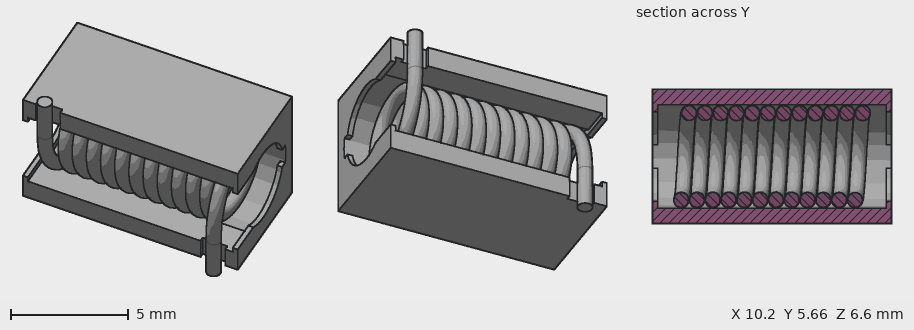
import cadquery as cq
import math


wire_diameter = 0.65
wire_radius = wire_diameter / 2
coil_inner_radius = 1.52
coil_radius = coil_inner_radius + wire_radius
coil_full_turns = 11
coil_end_angle = 60.0
lead_x = 3.99
lead_y = -2.56
lead_tip_z = 3.3
lead_bend_z = 1.4
bend_x_shift = 0.08

coil_length = 2 * (lead_x - bend_x_shift)
coil_turns = coil_full_turns + 1 - 2 * coil_end_angle / 360
coil_pitch = coil_length / coil_turns

housing_length = 10.16
housing_height = 5.71
housing_depth = 5.22
front_y = -2.45
back_y = front_y + housing_depth

bore_radius = 2.18
chamber_mouth_height = 3.78
lip_thickness = 0.23
chamber_length = housing_length - 2 * lip_thickness

lip_hole_radius = 1.9
lip_mouth_height = 3.29
notch_height = 1.02

groove_x = 3.9
groove_width = 1.16
groove_floor_y = lead_y + wire_radius


def open_bore(radius, mouth_height, length):
    """A cylinder along X joined to a flat-sided channel that leaves through the front."""
    bore = cq.Workplane("YZ").circle(radius).extrude(length / 2, both=True)
    channel = cq.Workplane("XY").box(length, -front_y, mouth_height).translate((0, front_y / 2, 0))
    return bore.union(channel)


def back_notch():
    """A notch through both lips, reaching back to the wall of the bore."""
    bore = cq.Workplane("YZ").circle(bore_radius).extrude(housing_length / 2, both=True)
    bar = cq.Workplane("XY").box(housing_length, bore_radius, notch_height)
    return bore.intersect(bar.translate((0, bore_radius / 2, 0)))


def lead_groove(side):
    """A groove above the left lead (side = -1) or below the right lead (side = 1)."""
    depth = groove_floor_y - front_y
    height = housing_height / 2
    groove = cq.Workplane("XY").box(groove_width, depth, height)
    return groove.translate((side * groove_x, front_y + depth / 2, -side * height / 2))


def make_housing():
    block = cq.Workplane("XY").box(housing_length, housing_depth, housing_height)
    block = block.translate((0, (front_y + back_y) / 2, 0))
    block = block.cut(open_bore(bore_radius, chamber_mouth_height, chamber_length))
    block = block.cut(open_bore(lip_hole_radius, lip_mouth_height, housing_length))
    block = block.cut(back_notch())
    for side in (-1, 1):
        block = block.cut(lead_groove(side))
    return block


def coil_turns_solid():
    """The helical stretch of the wire, right-handed along X."""
    helix = cq.Workplane(cq.Wire.makeHelix(coil_pitch, coil_length, coil_radius))
    start_direction = cq.Vector(0, coil_radius, coil_pitch / (2 * math.pi))
    section_plane = cq.Plane((coil_radius, 0, 0), (1, 0, 0), start_direction)
    turns = cq.Workplane(section_plane).circle(wire_radius).sweep(helix, isFrenet=True)
    turns = turns.rotate((0, 0, 0), (0, 1, 0), 90)
    turns = turns.rotate((0, 0, 0), (1, 0, 0), coil_end_angle - 90)
    return turns.translate((-coil_length / 2, 0, 0))


def left_lead():
    """The straight upright lead at -X and its bend down into the coil."""
    angle = math.radians(coil_end_angle)
    bend_top = cq.Vector(-lead_x, lead_y, lead_bend_z)
    coil_start = cq.Vector(-coil_length / 2, -coil_radius * math.cos(angle), -coil_radius * math.sin(angle))
    coil_direction = cq.Vector(
        coil_pitch / (2 * math.pi), coil_radius * math.sin(angle), -coil_radius * math.cos(angle)
    )
    down = cq.Vector(0, 0, -1)
    path = cq.Edge.makeSpline([bend_top, coil_start], tangents=[down, coil_direction.normalized()])
    section_plane = cq.Plane(bend_top, (1, 0, 0), down)
    bend = cq.Workplane(section_plane).circle(wire_radius).sweep(cq.Workplane(path))
    straight = cq.Workplane("XY", origin=bend_top.toTuple()).circle(wire_radius)
    return straight.extrude(lead_tip_z - lead_bend_z).union(bend)


def make_coil():
    """One wire: the turns and two leads that are a half turn about Y apart."""
    lead = left_lead()
    opposite_lead = lead.rotate((0, 0, 0), (0, 1, 0), 180)
    return coil_turns_solid().union(lead).union(opposite_lead)


housing = make_housing()
coil = make_coil()

result = cq.Compound.makeCompound([housing.solids().val(), coil.solids().val()])